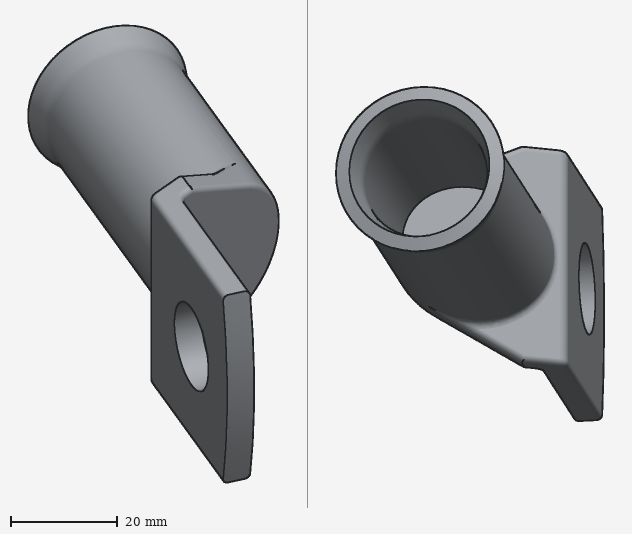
import cadquery as cq
import math

length = 103.0
width = 42.0

barrel_radius = 14.5
bore_radius = 11.7
wall = barrel_radius - bore_radius

flare_angle = math.radians(15)
flare_start = 7.2
flare_bend_radius = 7.2
rim_outer_x = 0.7

palm_bottom = -16.6
palm_thickness = 5.5
neck_thickness = 5.0
palm_top = palm_bottom + palm_thickness
neck_angle = math.radians(60)
neck_top_x = 51.4
bend_radius = 2.6
edge_round = 1.1
root_round = 1.3

shoulder_y = -8.5

shoulder_edge_y = -3.7
shoulder_edge_z = 18.4
blend_edge_x = 50.8
blend_edge_y = 4.0
blend_edge_z = 14.3

tip_corner_x = 100.7
hole_x = 84.9
hole_diameter = 17.2

half_width = width / 2
shoulder_distance = math.hypot(shoulder_y, half_width)
tangent_angle = math.atan2(half_width, shoulder_y) - math.acos(barrel_radius / shoulder_distance)
tangent_y = barrel_radius * math.cos(tangent_angle)
tangent_z = barrel_radius * math.sin(tangent_angle)


def neck_x(y, offset=0.0):
    """X of the slanted neck face at height y, moved inward by offset."""
    return neck_top_x + (barrel_radius - y) / math.tan(neck_angle) - offset / math.sin(neck_angle)


def round_edges(body, points, radius):
    """Round the edges whose centres lie nearest the given points."""
    edges = [body.edges(cq.selectors.NearestToPointSelector(p)).val() for p in points]
    return body.newObject(edges).fillet(radius)


def flare_side(radius, bend):
    """Start, middle and end of the wall arc, each as (x, radius)."""
    return [
        (flare_start - bend * math.sin(a), radius + bend * (1 - math.cos(a)))
        for a in (0, flare_angle / 2, flare_angle)
    ]


def shoulder_section():
    """End-on outline of shoulders and palm, extruded along X."""
    return (
        cq.Workplane("YZ")
        .moveTo(palm_bottom, -half_width)
        .lineTo(shoulder_y, -half_width)
        .lineTo(tangent_y, -tangent_z)
        .lineTo(tangent_y, tangent_z)
        .lineTo(shoulder_y, half_width)
        .lineTo(palm_bottom, half_width)
        .close()
        .extrude(length)
    )


def strap():
    """Full-width bent strip forming neck and palm."""
    strip = (
        cq.Workplane("XY")
        .moveTo(neck_x(half_width, neck_thickness), half_width)
        .lineTo(neck_x(palm_bottom, neck_thickness), palm_bottom)
        .lineTo(length, palm_bottom)
        .lineTo(length, palm_top)
        .lineTo(neck_x(palm_top), palm_top)
        .lineTo(neck_x(half_width), half_width)
        .close()
        .extrude(width, both=True)
    )
    outer_bend = (neck_x(palm_bottom, neck_thickness), palm_bottom, 0)
    inner_bend = (neck_x(palm_top), palm_top, 0)
    return round_edges(strip, [outer_bend, inner_bend], bend_radius)


def cut_rod(radius, start, offset):
    """Rod along X from start, ending on the neck face moved inward by offset."""
    rod = cq.Workplane("YZ").workplane(offset=start).circle(radius).extrude(length)
    beyond_neck = (
        cq.Workplane("XY")
        .moveTo(neck_x(half_width, offset), half_width)
        .lineTo(neck_x(-half_width, offset), -half_width)
        .lineTo(2 * length, -half_width)
        .lineTo(2 * length, half_width)
        .close()
        .extrude(half_width, both=True)
    )
    return rod.cut(beyond_neck)


def flare():
    """Flared tube wall, square-cut at the rim."""
    outer = flare_side(barrel_radius, flare_bend_radius)
    inner = flare_side(bore_radius, flare_bend_radius + wall)
    rim_outer_radius = outer[2][1] + (outer[2][0] - rim_outer_x) * math.tan(flare_angle)
    rim_inner = (
        rim_outer_x - wall * math.sin(flare_angle),
        rim_outer_radius - wall * math.cos(flare_angle),
    )
    return (
        cq.Workplane("XY")
        .moveTo(*outer[0])
        .threePointArc(outer[1], outer[2])
        .lineTo(rim_outer_x, rim_outer_radius)
        .lineTo(*rim_inner)
        .lineTo(*inner[2])
        .threePointArc(inner[1], inner[0])
        .close()
        .revolve(360, (0, 0, 0), (1, 0, 0))
    )


def tip_and_hole(body):
    """Arc-ended palm with its bolt hole."""
    outline = (
        cq.Workplane("XZ")
        .moveTo(0, -half_width)
        .lineTo(tip_corner_x, -half_width)
        .threePointArc((length, 0), (tip_corner_x, half_width))
        .lineTo(0, half_width)
        .close()
        .extrude(half_width, both=True)
    )
    hole = cq.Workplane("XZ").center(hole_x, 0).circle(hole_diameter / 2).extrude(half_width)
    return body.intersect(outline).cut(hole)


def neck_and_palm(rod):
    """Strap blended into the barrel, then trimmed to the shoulders."""
    root_point = (neck_x(0, neck_thickness), 0, 0)
    blended = round_edges(strap().union(rod), [root_point], root_round)
    return tip_and_hole(blended.intersect(shoulder_section()))


def round_outer_edges(body):
    """Round the long edges of the palm, shoulders and barrel end."""
    middle_y = (tangent_y + shoulder_y) / 2
    middle_z = (tangent_z + half_width) / 2
    palm_middle_x = (neck_x(palm_top) + tip_corner_x) / 2
    top_points = []
    bottom_points = []
    for side in (-1, 1):
        top_points += [
            (neck_x(middle_y), middle_y, side * middle_z),
            (palm_middle_x, palm_top, side * half_width),
        ]
        bottom_points += [
            (blend_edge_x, blend_edge_y, side * blend_edge_z),
            (neck_x(shoulder_edge_y, neck_thickness), shoulder_edge_y, side * shoulder_edge_z),
            (palm_middle_x, palm_bottom, side * half_width),
        ]
    body = round_edges(body, bottom_points, edge_round)
    return round_edges(body, top_points, edge_round)


rod = cut_rod(barrel_radius, flare_start, 0)
lug = round_outer_edges(neck_and_palm(rod).union(rod))
result = lug.union(flare()).cut(cut_rod(bore_radius, flare_start, neck_thickness))